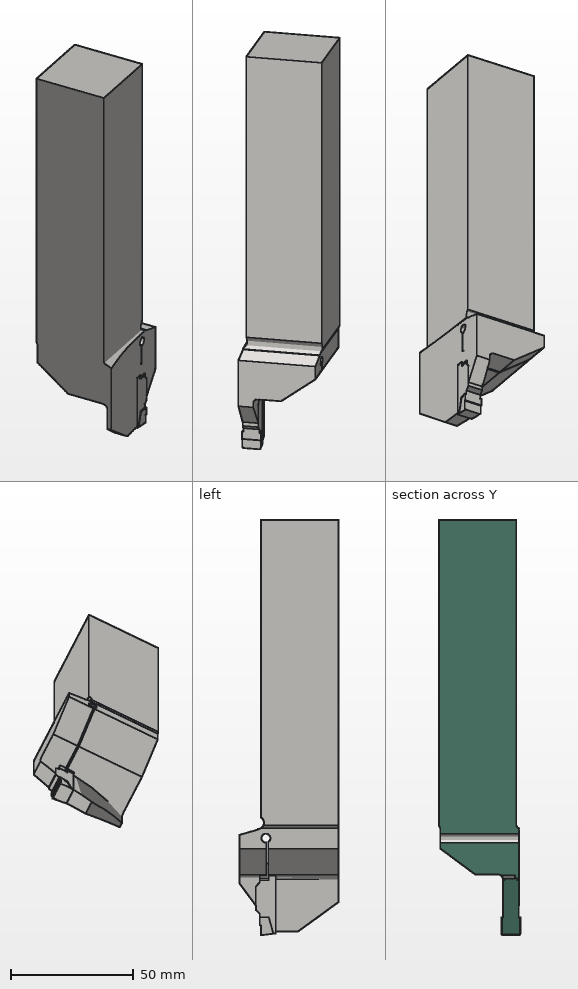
import cadquery as cq
import math


total_height = 170.0
shank_size = 31.8
shank_bottom = 45.0

head_left = 0.5
head_right = 35.4
head_back = 40.6
head_underside = 24.8
left_step_drop = 1.2
corner_top = 35.5
corner_end_x = 15.0
shoulder_inner_x = 33.3
shoulder_inner_z = 43.7
shoulder_outer_z = 42.8
shoulder_arc_bulge = 0.25
back_edge_top = 41.1
back_slope_angle = 16.0
undercut_radius = 2.5
undercut_y = 33.2
undercut_z = 46.0

blade_left = 26.2
blade_right = 32.8
blade_front_left = 33.3
blade_root_radius = 1.9
blade_front_bottom = 13.6
blade_bottom = 1.5
blade_bevel_end_y = 16.7
blade_back_bottom = 21.2
jaw_end_z = 12.0

seat_y = 25.7
insert_top_y = 33.8
neck_y = 32.3
heel_y = 28.5
insert_back_z = 23.3
pocket_top_z = 24.5
clearance_angle = 7.0
land_length = 4.0
neck_length = 8.8
crown_start_z = 10.4
crown_end_z = 19.9
crown_slope_end_z = 21.8
insert_side_overhang = 0.7
tail_relief_length = 0.7
tail_relief_depth = 0.7
cutting_head_length = 7.3
cutting_head_heel_y = 26.5
cutting_head_shoulder_y = 28.5
cutting_corner_radius = 0.8

slot_y = 29.2
slot_width = 0.7
slot_hole_y = 29.8
slot_hole_z = 39.8
slot_hole_diameter = 3.5
slot_wall_top = 29.4
slot_wall_thickness = 1.7

cutting_edge_y = shank_size
clear = 2 * total_height
margin = 0.2


def extrude_yz(points, left, right):
    """Prism of a YZ outline between two X positions."""
    return cq.Workplane("YZ", origin=(left, 0, 0)).polyline(points).close().extrude(right - left)


def flank_arc(side_x, front_x):
    """Three points of a blade flank: front end, tangent point and back end of the same arc."""
    sagitta = front_x - side_x
    radius = (cutting_edge_y**2 + sagitta**2) / (2 * sagitta)
    back_offset = head_back - cutting_edge_y
    back_x = side_x + radius - math.sqrt(radius**2 - back_offset**2)
    return (front_x, 0), (side_x, cutting_edge_y), (back_x, head_back)


def make_shank():
    height = total_height - shank_bottom
    return cq.Workplane("XY", origin=(0, 0, shank_bottom)).box(
        shank_size, shank_size, height, centered=False
    )


def make_head():
    """Head block with its bevelled lower corner and sloped right shoulder."""
    shoulder_middle = (
        (shank_size + shoulder_inner_x) / 2 - shoulder_arc_bulge,
        (shank_bottom + shoulder_inner_z) / 2 - shoulder_arc_bulge,
    )
    return (
        cq.Workplane("XZ")
        .moveTo(0, shank_bottom)
        .lineTo(head_left, shank_bottom - left_step_drop)
        .lineTo(head_left, corner_top)
        .lineTo(corner_end_x, head_underside)
        .lineTo(head_right, head_underside)
        .lineTo(head_right, shoulder_outer_z)
        .lineTo(shoulder_inner_x, shoulder_inner_z)
        .threePointArc(shoulder_middle, (shank_size, shank_bottom))
        .close()
        .extrude(-head_back)
    )


def make_blade():
    """Blade under the head with its curved left flank, full width to the right."""
    left_front, left_middle, left_back = flank_arc(blade_left, blade_front_left)
    return (
        cq.Workplane("XY")
        .moveTo(*left_front)
        .threePointArc(left_middle, left_back)
        .lineTo(head_right, head_back)
        .lineTo(head_right, 0)
        .close()
        .extrude(head_underside)
    )


def side_region():
    """Side shape of head and blade, with the bevels in front of and behind the blade."""
    return extrude_yz(
        [
            (0, blade_front_bottom),
            (blade_bevel_end_y, blade_bottom),
            (seat_y, blade_bottom),
            (seat_y, jaw_end_z),
            (insert_top_y, jaw_end_z),
            (head_back, blade_back_bottom),
            (head_back, total_height),
            (0, total_height),
        ],
        0,
        head_right,
    )


def right_flank_region():
    """Everything to the left of the blade's right flank."""
    front, middle, back = flank_arc(blade_right, head_right)
    return (
        cq.Workplane("XY")
        .moveTo(*front)
        .threePointArc(middle, back)
        .lineTo(0, head_back)
        .lineTo(0, 0)
        .close()
        .extrude(total_height)
    )


def back_relief():
    """Space above the head's back slope, with the round undercut into the shank."""
    slope = math.tan(math.radians(back_slope_angle))
    slope_top = back_edge_top + (head_back - undercut_y) * slope
    undercut = (
        cq.Workplane("YZ").center(undercut_y, undercut_z).circle(undercut_radius).extrude(clear)
    )
    wedge = extrude_yz(
        [
            (undercut_y, slope_top),
            (head_back, back_edge_top),
            (head_back, clear),
            (undercut_y, clear),
        ],
        0,
        clear,
    )
    return wedge.union(undercut)


def insert_outline():
    """YZ outline of the insert: cutting land, neck, crown and rear stop."""
    bottom_z = (cutting_edge_y - seat_y) * math.tan(math.radians(clearance_angle))
    return [
        (seat_y, bottom_z),
        (cutting_edge_y, 0),
        (cutting_edge_y, land_length),
        (neck_y, land_length),
        (neck_y, neck_length),
        (insert_top_y, crown_start_z),
        (insert_top_y, crown_end_z),
        (neck_y, crown_slope_end_z),
        (neck_y, insert_back_z),
        (heel_y, insert_back_z),
        (heel_y, pocket_top_z),
        (seat_y, pocket_top_z),
    ]


def tail_relief(left):
    """Shallow step in one flank at the insert's rear end."""
    return cq.Workplane("XY", origin=(left, heel_y, insert_back_z - tail_relief_length)).box(
        tail_relief_depth, neck_y - heel_y, tail_relief_length, centered=False
    )


def make_insert():
    body = extrude_yz(insert_outline(), blade_left, blade_right)
    for relief_left in (blade_left, blade_right - tail_relief_depth):
        body = body.cut(tail_relief(relief_left))
    wide_left = blade_left - insert_side_overhang
    wide_right = blade_right + insert_side_overhang
    tapered_prism = (
        cq.Workplane("XY")
        .polyline(
            [
                (wide_left, neck_y),
                (wide_right, neck_y),
                (blade_right, seat_y),
                (blade_left, seat_y),
            ]
        )
        .close()
        .extrude(neck_length)
        .edges("<Z and (not |X)")
        .fillet(cutting_corner_radius)
    )
    cutting_head = extrude_yz(
        [
            (cutting_head_heel_y, 0),
            (neck_y, 0),
            (neck_y, cutting_head_length),
            (cutting_head_shoulder_y, cutting_head_length),
        ],
        wide_left,
        wide_right,
    )
    envelope = extrude_yz(insert_outline(), wide_left, wide_right)
    return body.union(cutting_head.intersect(tapered_prism).intersect(envelope))


def insert_pocket():
    """Through pocket that follows the insert."""
    return extrude_yz(insert_outline(), 0, clear)


def clamping_slot():
    """Slot, its round end and the gap behind the insert; the lower part keeps a thin right wall."""
    wall_left = blade_right - slot_wall_thickness
    slot_left_y = slot_y - slot_width / 2
    hole = (
        cq.Workplane("YZ").center(slot_hole_y, slot_hole_z)
        .circle(slot_hole_diameter / 2).extrude(clear)
    )
    upper_slot = cq.Workplane("XY", origin=(0, slot_left_y, slot_wall_top)).box(
        clear, slot_width, slot_hole_z - slot_wall_top, centered=False
    )
    lower_slot = cq.Workplane("XY", origin=(0, slot_left_y, insert_back_z)).box(
        wall_left, slot_width, slot_wall_top - insert_back_z, centered=False
    )
    rear_gap = cq.Workplane("XY", origin=(0, heel_y, insert_back_z)).box(
        wall_left, neck_y - heel_y, pocket_top_z - insert_back_z, centered=False
    )
    return hole.union(upper_slot).union(lower_slot).union(rear_gap)


def make_holder():
    root = cq.selectors.BoxSelector(
        (blade_left - margin, -margin, head_underside - margin),
        (blade_front_left + margin, head_back + margin, head_underside + margin),
    )
    lower = make_head().union(make_blade())
    lower = lower.edges(root).fillet(blade_root_radius)
    lower = lower.intersect(right_flank_region()).intersect(side_region())
    return (
        lower.union(make_shank())
        .cut(back_relief())
        .cut(insert_pocket())
        .cut(clamping_slot())
    )


holder = make_holder()
insert = make_insert()

result = cq.Compound.makeCompound([holder.val(), insert.val()])